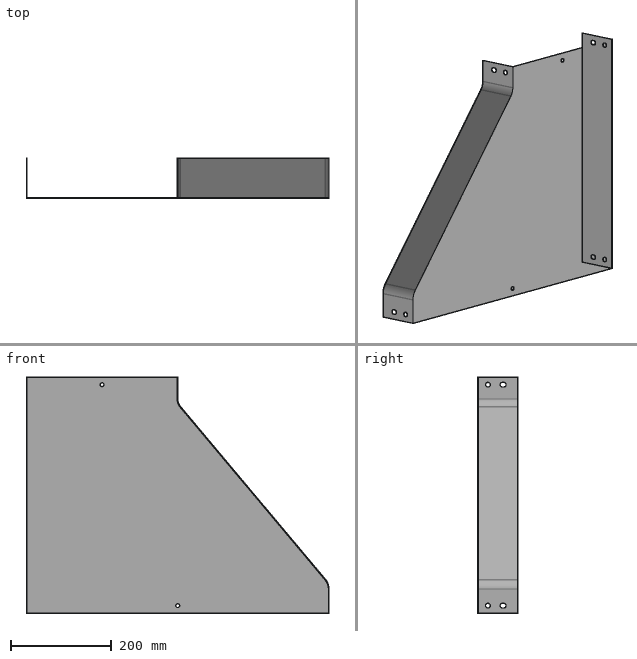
import cadquery as cq

length = 600.0
depth = 80.0
height = 468.0
sheet = 1.5

top_length = length / 2
upper_corner_z = 416.5
lower_corner_z = 59.0
upper_bend_radius = 24.0
lower_bend_radius = 30.0

edge_offset = 15.0
plate_hole_diameter = 7.0
flange_hole_diameter = 9.0
slot_length = 11.5
round_hole_y = 20.5
slot_y = 50.5
hole_heights = (edge_offset, height - edge_offset)


def outline_prism(y_size):
    """Solid panel outline with both bends rounded, from Y = 0 to y_size."""
    prism = (
        cq.Workplane("XZ")
        .polyline([
            (0, 0),
            (length, 0),
            (length, lower_corner_z),
            (top_length, upper_corner_z),
            (top_length, height),
            (0, height),
        ])
        .close()
        .extrude(-y_size)
    )
    bends = (
        (length, lower_corner_z, lower_bend_radius),
        (top_length, upper_corner_z, upper_bend_radius),
    )
    for x, z, radius in bends:
        corner = cq.selectors.NearestToPointSelector((x, y_size / 2, z))
        prism = prism.edges("|Y").edges(corner).fillet(radius)
    return prism


def folded_sheet():
    """Front plate with a left flange and a right flange that follows the bends."""
    prism = outline_prism(depth)
    plate = outline_prism(sheet)
    left_flange = cq.Workplane("XY").box(sheet, depth, height, centered=False)
    open_faces = prism.faces("<Y or >Y or <Z or >Z or <X")
    right_flange = open_faces.shell(-sheet)
    return plate.union(left_flange).union(right_flange)


def plate_hole(x, z):
    return (
        cq.Workplane("XZ")
        .center(x, z)
        .circle(plate_hole_diameter / 2)
        .extrude(-2 * sheet)
    )


def flange_hole_pair(x, z):
    """Cutters along X through one flange: a round hole and a slot lying along Y."""
    flange_plane = cq.Workplane("YZ", origin=(x - sheet, 0, z))
    round_hole = (
        flange_plane.center(round_hole_y, 0)
        .circle(flange_hole_diameter / 2)
        .extrude(3 * sheet)
    )
    slot = (
        flange_plane.center(slot_y, 0)
        .slot2D(slot_length, flange_hole_diameter)
        .extrude(3 * sheet)
    )
    return round_hole.union(slot)


result = folded_sheet()

result = result.cut(plate_hole(top_length / 2, height - edge_offset))
result = result.cut(plate_hole(length / 2, edge_offset))

for hole_z in hole_heights:
    result = result.cut(flange_hole_pair(0, hole_z))

result = result.cut(flange_hole_pair(length - sheet, edge_offset))
result = result.cut(flange_hole_pair(top_length - sheet, height - edge_offset))